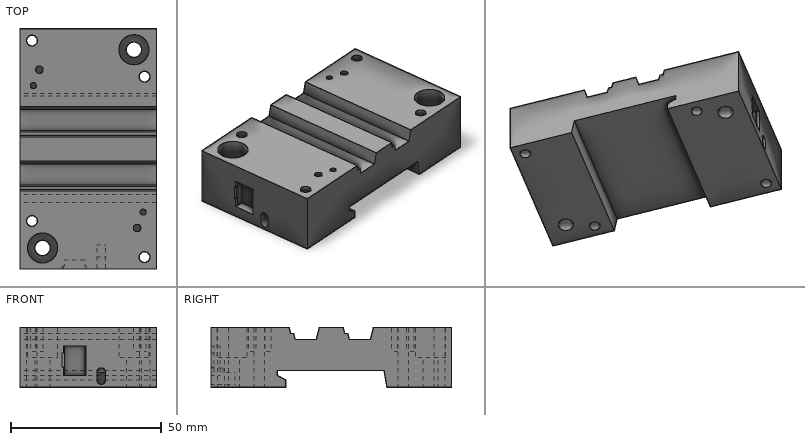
import cadquery as cq
import math

width = 45.5
length = 80.0
height = 20.0

groove_depth = 4.0
ledge_depth = 2.0
ledge_width = 1.0
groove_floor = 7.0
groove_draft = 14.0
groove_pitch = 18.0
rear_groove_edge = 14.0

channel_depth = 5.6
channel_rear_base = 18.5
channel_rear_run = 1.0
hook_tip = -15.1
hook_root = -17.9
hook_lip_height = 2.5
hook_root_height = 4.0

through_diameter = 3.5
through_places = [(18.7, 24.0), (-18.7, 36.0)]
bolt_place = (15.2, 33.0)
bolt_diameter = 5.0
counterbore_diameter = 10.0
counterbore_depth = 10.0
pin_depth = 8.0
pins = [(-16.2, 26.3, 2.5), (-18.2, 21.0, 2.0)]

pocket_center_x = -4.5
pocket_center_z = 8.9
pocket_height = 9.9
pocket_width = 7.0
pocket_depth = 3.0
rim_width = 7.4
rim_depth = 1.0
notch_height = 4.6
notch_width = 0.5
notch_center_z = 9.1

slot_x = 4.3
slot_width = 3.0
slot_bottom = 1.0
slot_top = 6.5
slot_depth = 8.0
slot_upper_depth = 4.0
upright = 90.0


def extrude_across(points):
    """Prism along the full X width from an outline given as (Y, Z)."""
    return cq.Workplane("YZ").polyline(points).close().extrude(width / 2, both=True)


def top_groove(rear_edge):
    slope = math.tan(math.radians(groove_draft))
    floor_z = height - groove_depth
    ledge_z = height - ledge_depth
    floor_rear = rear_edge - groove_depth * slope
    floor_front = floor_rear - groove_floor
    ledge_rear = floor_front - (groove_depth - ledge_depth) * slope
    ledge_front = ledge_rear - ledge_width
    return extrude_across([
        (rear_edge, height),
        (floor_rear, floor_z),
        (floor_front, floor_z),
        (ledge_rear, ledge_z),
        (ledge_front, ledge_z),
        (ledge_front - ledge_depth * slope, height),
    ])


def rail_channel():
    return extrude_across([
        (channel_rear_base, 0),
        (channel_rear_base - channel_rear_run, channel_depth),
        (hook_root, channel_depth),
        (hook_root, hook_root_height),
        (hook_tip, hook_lip_height),
        (hook_tip, 0),
    ])


def hole_pair(x, y, diameter, depth):
    """Two holes down from the top, half a turn apart about Z."""
    places = [(x, y), (-x, -y)]
    return (
        cq.Workplane("XY", origin=(0, 0, height))
        .pushPoints(places)
        .circle(diameter / 2)
        .extrude(-depth)
    )


def front_recess(center_x, center_z, size_x, size_z, depth):
    return cq.Workplane("XY").box(size_x, depth, size_z).translate(
        (center_x, (depth - length) / 2, center_z)
    )


def front_pocket():
    rim = front_recess(pocket_center_x, pocket_center_z, rim_width, pocket_height, rim_depth)
    deep = front_recess(pocket_center_x, pocket_center_z, pocket_width, pocket_height, pocket_depth)
    notch_x = pocket_center_x - (rim_width + notch_width) / 2
    notch = front_recess(notch_x, notch_center_z, notch_width, notch_height, rim_depth)
    return rim.union(deep).union(notch)


def front_slot():
    """Upright slot whose rounded upper end is shallower than the rest."""
    slot = (
        cq.Workplane("XZ", origin=(slot_x, -length / 2, (slot_bottom + slot_top) / 2))
        .slot2D(slot_top - slot_bottom, slot_width, upright)
        .extrude(-slot_depth)
    )
    upper_end_height = slot_width / 2
    solid_behind_end = cq.Workplane("XY").box(
        slot_width, slot_depth - slot_upper_depth, upper_end_height, centered=(True, False, False)
    ).translate((slot_x, slot_upper_depth - length / 2, slot_top - upper_end_height))
    return slot.cut(solid_behind_end)


result = cq.Workplane("XY").box(width, length, height, centered=(True, True, False))
result = result.cut(top_groove(rear_groove_edge))
result = result.cut(top_groove(rear_groove_edge - groove_pitch))
result = result.cut(rail_channel())
for place_x, place_y in through_places:
    result = result.cut(hole_pair(place_x, place_y, through_diameter, height))
result = result.cut(hole_pair(*bolt_place, bolt_diameter, height))
result = result.cut(hole_pair(*bolt_place, counterbore_diameter, counterbore_depth))
for pin_x, pin_y, pin_diameter in pins:
    result = result.cut(hole_pair(pin_x, pin_y, pin_diameter, pin_depth))
result = result.cut(front_pocket())
result = result.cut(front_slot())